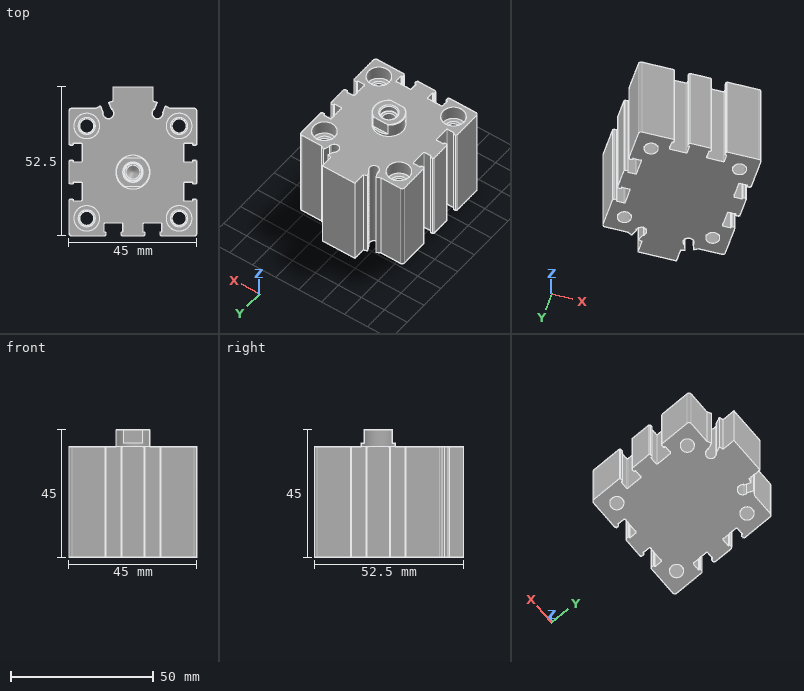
import cadquery as cq
import math

block_width = 45.0
block_height = 39.0
half_block = block_width / 2
block_corner_radius = 1.0

rail_width = 14.2
rail_height = 7.5
rail_top = half_block + rail_height

groove_lean = 22.5
groove_mouth_x = 10.0
groove_mouth_y = 23.95
groove_mouth_width = 3.1
groove_clearance = 3.0
groove_neck_depth = 2.7
groove_bore_diameter = 3.7
groove_bore_depth = 3.55
shoulder_inner_y = 25.0
shoulder_outer_x = 13.0
shoulder_overlap = 1.0
shoulder_root_y = half_block - shoulder_overlap

slot_offset = 6.85
slot_mouth_width = 5.2
slot_inner_width = 6.5
slot_depth = 4.6
slot_lip = 1.5
slot_lip_outer_radius = 0.35
slot_lip_inner_radius = 0.2
slot_inner_radius = 0.3

hole_pitch = 32.5
hole_diameter = 4.92
hole_countersink_diameter = 6.0
counterbore_diameter = 9.0
counterbore_depth = 5.8

rod_diameter = 12.0
rod_projection = 6.0
rod_seat_depth = 20.0
rod_edge_chamfer = 0.2
rod_top = block_height + rod_projection
flat_spacing = 10.0
flat_height = 4.8

rod_hole_rim_diameter = 7.2
rod_hole_entry_diameter = 6.4
rod_hole_entry_depth = 2.7
rod_hole_depth = 15.0
drill_point_angle = 118.0


def rotate_to_side(solid, angle):
    return solid.rotate((0, 0, 0), (0, 0, 1), angle)


def groove_point(across, depth):
    """Point in a +X sensor groove, across it and down from the middle of its mouth."""
    lean = math.radians(groove_lean)
    x = groove_mouth_x + across * math.cos(lean) - depth * math.sin(lean)
    y = groove_mouth_y - across * math.sin(lean) - depth * math.cos(lean)
    return (x, y)


def make_shoulder():
    """Raised ridge between the rail and the block's +Y face, on the +X side."""
    half_mouth = groove_mouth_width / 2
    return (
        cq.Workplane("XY")
        .moveTo(0, shoulder_root_y)
        .lineTo(0, shoulder_inner_y)
        .lineTo(rail_width / 2, shoulder_inner_y)
        .lineTo(*groove_point(-half_mouth, 0))
        .lineTo(*groove_point(half_mouth, 0))
        .lineTo(shoulder_outer_x, half_block)
        .lineTo(shoulder_outer_x, shoulder_root_y)
        .close()
        .extrude(block_height)
    )


def make_sensor_groove():
    """Cutter for the leaning groove on the +X side, with a round bottom wider than its neck."""
    half_mouth = groove_mouth_width / 2
    half_bore = groove_bore_diameter / 2
    return (
        cq.Workplane("XY")
        .moveTo(*groove_point(half_mouth, -groove_clearance))
        .lineTo(*groove_point(half_mouth, groove_neck_depth))
        .lineTo(*groove_point(half_bore, groove_neck_depth))
        .lineTo(*groove_point(half_bore, groove_bore_depth))
        .threePointArc(
            groove_point(0, groove_bore_depth + half_bore),
            groove_point(-half_bore, groove_bore_depth),
        )
        .lineTo(*groove_point(-half_bore, groove_neck_depth))
        .lineTo(*groove_point(-half_mouth, groove_neck_depth))
        .lineTo(*groove_point(-half_mouth, -groove_clearance))
        .close()
        .extrude(block_height)
    )


def make_slot(x):
    """Cutter for one T-slot open to -Y, with rounded lips and rounded inner corners."""
    half_mouth = slot_mouth_width / 2
    outer_r = slot_lip_outer_radius
    inner_r = slot_lip_inner_radius
    face_y = -half_block
    lip_y = face_y + slot_lip
    inner = (
        cq.Workplane("XY")
        .center(x, lip_y + (slot_depth - slot_lip) / 2)
        .rect(slot_inner_width, slot_depth - slot_lip)
        .extrude(block_height)
        .edges("|Z and >Y")
        .fillet(slot_inner_radius)
    )
    mouth = (
        cq.Workplane("XY")
        .moveTo(x - half_mouth - outer_r, face_y)
        .radiusArc((x - half_mouth, face_y + outer_r), outer_r)
        .lineTo(x - half_mouth, lip_y - inner_r)
        .radiusArc((x - half_mouth - inner_r, lip_y), inner_r)
        .lineTo(x + half_mouth + inner_r, lip_y)
        .radiusArc((x + half_mouth, lip_y - inner_r), inner_r)
        .lineTo(x + half_mouth, face_y + outer_r)
        .radiusArc((x + half_mouth + outer_r, face_y), outer_r)
        .close()
        .extrude(block_height)
    )
    return inner.union(mouth)


def make_corner_hole():
    """Cutter for a counterbored through hole, countersunk at the counterbore's floor."""
    floor_z = block_height - counterbore_depth
    countersink_depth = (hole_countersink_diameter - hole_diameter) / 2
    return (
        cq.Workplane("XZ")
        .lineTo(hole_diameter / 2, 0)
        .lineTo(hole_diameter / 2, floor_z - countersink_depth)
        .lineTo(hole_countersink_diameter / 2, floor_z)
        .lineTo(counterbore_diameter / 2, floor_z)
        .lineTo(counterbore_diameter / 2, block_height)
        .lineTo(0, block_height)
        .close()
        .revolve(360, (0, 0, 0), (0, 1, 0))
    )


def make_housing():
    body = (
        cq.Workplane("XY")
        .rect(block_width, block_width)
        .extrude(block_height)
        .edges("|Z")
        .fillet(block_corner_radius)
    )
    rail = (
        cq.Workplane("XY")
        .center(0, rail_top / 2)
        .rect(rail_width, rail_top)
        .extrude(block_height)
    )
    shoulder = make_shoulder()
    groove = make_sensor_groove()
    body = body.union(rail).union(shoulder).union(shoulder.mirror("YZ"))
    body = body.cut(groove).cut(groove.mirror("YZ"))

    for side_angle in (-90, 0, 90):
        for x in (-slot_offset, slot_offset):
            body = body.cut(rotate_to_side(make_slot(x), side_angle))

    hole = make_corner_hole()
    for x in (-hole_pitch / 2, hole_pitch / 2):
        for y in (-hole_pitch / 2, hole_pitch / 2):
            body = body.cut(hole.translate((x, y, 0)))

    rod_seat = (
        cq.Workplane("XY")
        .workplane(offset=block_height - rod_seat_depth)
        .circle(rod_diameter / 2)
        .extrude(rod_seat_depth)
    )
    return body.cut(rod_seat)


def make_rod_hole():
    """Cutter for the rod's hole: chamfered rim, wide entry, then the narrow drilled length."""
    rim_depth = (rod_hole_rim_diameter - rod_hole_entry_diameter) / 2
    countersink_depth = (hole_countersink_diameter - hole_diameter) / 2
    point_height = hole_diameter / 2 / math.tan(math.radians(drill_point_angle / 2))
    entry_z = rod_top - rod_hole_entry_depth
    bottom_z = rod_top - rod_hole_depth
    return (
        cq.Workplane("XZ")
        .moveTo(0, bottom_z - point_height)
        .lineTo(hole_diameter / 2, bottom_z)
        .lineTo(hole_diameter / 2, entry_z - countersink_depth)
        .lineTo(hole_countersink_diameter / 2, entry_z)
        .lineTo(rod_hole_entry_diameter / 2, entry_z)
        .lineTo(rod_hole_entry_diameter / 2, rod_top - rim_depth)
        .lineTo(rod_hole_rim_diameter / 2, rod_top)
        .lineTo(0, rod_top)
        .close()
        .revolve(360, (0, 0, 0), (0, 1, 0))
    )


def make_rod():
    rod = (
        cq.Workplane("XY")
        .workplane(offset=block_height - rod_seat_depth)
        .circle(rod_diameter / 2)
        .extrude(rod_seat_depth + rod_projection)
        .faces(">Z")
        .edges()
        .chamfer(rod_edge_chamfer)
    )
    cutter_size = 2 * rod_diameter
    flat_cutter = (
        cq.Workplane("XY")
        .workplane(offset=rod_top - flat_height)
        .rect(cutter_size, cutter_size)
        .rect(cutter_size, flat_spacing)
        .extrude(flat_height)
    )
    return rod.cut(flat_cutter).cut(make_rod_hole())


housing = make_housing()
rod = make_rod()
result = cq.Compound.makeCompound([housing.val(), rod.val()])